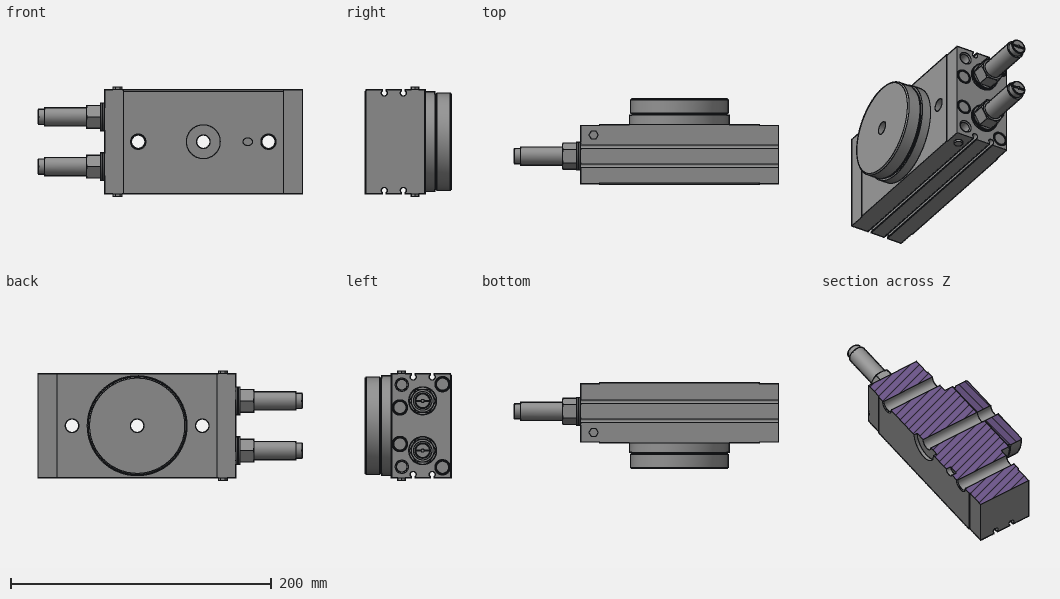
import cadquery as cq
import math


half_height = 40.0
middle_length = 122.6
housing_depth = 46.0
housing_chamfer = 1.5
left_end_length = 14.5
right_end_length = 14.8
end_inset = 0.6
left_x = -middle_length / 2 - left_end_length
right_x = middle_length / 2 + right_end_length

overall_depth = 66.0
collar_radius = 38.4
collar_height = 7.3
table_radius = 37.5
table_chamfer = 1.0
neck_radius = table_radius - table_chamfer
neck_height = 0.8
collar_top_y = housing_depth + collar_height

center_bore_radius = 5.0
center_recess_radius = 13.0
center_recess_depth = 2.8
mount_hole_x = 50.0
mount_hole_radius = 5.0
mount_hole_chamfer = 0.8
locating_hole_x = 34.1
locating_hole_length = 7.3
locating_hole_height = 5.9
locating_hole_depth = 4.0

groove_ys = (14.6, 29.2)
groove_radius = 2.2
groove_center_depth = 2.6
groove_mouth = 2.8

port_y = 38.0
port_z = 31.5
port_radius = 4.0
port_chamfer = 1.0
port_depth = 10.2
screw_head_radius = 4.7
screw_ring_radius = 5.9
screw_ring_depth = 0.5
screw_places = ((6.7, 31.9), (39.4, 14.0))

absorber_y = 22.0
absorber_z = 19.0
tip_radius = 5.9
tip_length = 5.0
tip_chamfer = 0.6
rod_radius = 7.1
rod_length = 32.0
nut_flats = 17.7
nut_length = 10.8
nut_chamfer_radius = 8.7
nut_chamfer_angle = math.radians(20)
washer_radius = 10.8
washer_length = 3.2
washer_groove_width = 0.6
washer_groove_depth = 0.5
tip_slot_width = 0.8
tip_slot_depth = 0.8
tip_hole_radius = 1.2
tip_hole_depth = 2.0
washer_x = left_x - washer_length
nut_x = washer_x - nut_length
rod_x = nut_x - rod_length
tip_x = rod_x - tip_length

plug_x = -65.8
plug_y = 38.2
plug_flats = 6.0
plug_height = 2.0


def cylinder_x(radius, length, start_x, y, z):
    """Cylinder that runs toward +X from start_x."""
    return cq.Workplane("YZ", origin=(start_x, y, z)).circle(radius).extrude(length)


def cylinder_y(radius, length, x, start_y):
    """Cylinder at mid height that runs toward +Y from start_y."""
    return cq.Workplane("XZ", origin=(x, start_y, 0)).circle(radius).extrude(-length)


def block(start_x, length, start_y, depth):
    """Full-height block centered on Z = 0."""
    corner = (start_x, start_y, -half_height)
    return cq.Workplane("XY").box(length, depth, 2 * half_height, centered=False).translate(corner)


def cut_sensor_grooves(body):
    """Keyhole-shaped grooves along X in the top and bottom faces."""
    start_x = left_x
    length = right_x - left_x
    for side in (-1, 1):
        for y in groove_ys:
            center_z = side * (half_height - groove_center_depth)
            mouth_z = side * (half_height - groove_center_depth / 2)
            mouth = (
                cq.Workplane("YZ", origin=(start_x, y, mouth_z))
                .rect(groove_mouth, groove_center_depth)
                .extrude(length)
            )
            groove = cylinder_x(groove_radius, length, start_x, y, center_z).union(mouth)
            body = body.cut(groove, clean=False)
    return body


def revolve_about_x(points, y, z):
    """Solid of revolution about the X-parallel line at y, z from (x, radius) points."""
    profile = cq.Workplane("XY", origin=(0, y, z)).polyline(points).close()
    return profile.revolve(360, (0, 0, 0), (1, 0, 0))


def revolve_about_y(points, x):
    """Solid of revolution about the Y-parallel line at x and mid height from (radius, y) points."""
    profile = cq.Workplane("XY", origin=(x, 0, 0)).polyline(points).close()
    return profile.revolve(360, (0, 0, 0), (0, 1, 0))


def make_housing_blank():
    """Middle block, end sections and collar; the end sections stay distinct in the flush top and bottom faces."""
    end_depth = housing_depth - 2 * end_inset
    middle = block(-middle_length / 2, middle_length, 0, housing_depth)
    middle = middle.edges("<Y and >Z").chamfer(housing_chamfer)
    middle = middle.union(cylinder_y(collar_radius, collar_height, 0, housing_depth))
    left_end = block(left_x, left_end_length, end_inset, end_depth)
    right_end = block(middle_length / 2, right_end_length, end_inset, end_depth)
    return middle.union(left_end, clean=False).union(right_end, clean=False)


def cut_front_holes(body):
    """Center bore with its recess, two mounting holes and an oval locating hole."""
    body = body.cut(cylinder_y(center_bore_radius, collar_top_y, 0, 0), clean=False)
    body = body.cut(cylinder_y(center_recess_radius, center_recess_depth, 0, 0), clean=False)

    mount_hole_profile = [
        (0, 0),
        (mount_hole_radius + mount_hole_chamfer, 0),
        (mount_hole_radius, mount_hole_chamfer),
        (mount_hole_radius, housing_depth),
        (0, housing_depth),
    ]
    for x in (-mount_hole_x, mount_hole_x):
        body = body.cut(revolve_about_y(mount_hole_profile, x), clean=False)

    locating_hole = (
        cq.Workplane("XZ", origin=(locating_hole_x, 0, 0))
        .ellipse(locating_hole_length / 2, locating_hole_height / 2)
        .extrude(-locating_hole_depth)
    )
    return body.cut(locating_hole, clean=False)


def cut_left_face(body):
    """Air ports and the V-shaped rings around the flush screw heads."""
    face_x = left_x
    port_profile = [
        (face_x, 0),
        (face_x, port_radius + port_chamfer),
        (face_x + port_chamfer, port_radius),
        (face_x + port_depth, port_radius),
        (face_x + port_depth, 0),
    ]
    screw_ring_profile = [
        (face_x, screw_head_radius),
        (face_x, screw_ring_radius),
        (face_x + screw_ring_depth, (screw_head_radius + screw_ring_radius) / 2),
    ]
    for side in (-1, 1):
        body = body.cut(revolve_about_x(port_profile, port_y, side * port_z), clean=False)
        for y, z in screw_places:
            body = body.cut(revolve_about_x(screw_ring_profile, y, side * z), clean=False)
    return body


def make_housing():
    body = cut_sensor_grooves(make_housing_blank())
    return cut_left_face(cut_front_holes(body))


def make_table():
    """Chamfered disc on a short neck that stands on the collar."""
    disc_y = collar_top_y + neck_height
    table = cylinder_y(table_radius, overall_depth - disc_y, 0, disc_y)
    table = table.edges().chamfer(table_chamfer)
    table = table.union(cylinder_y(neck_radius, neck_height, 0, collar_top_y))
    return table.cut(cylinder_y(center_bore_radius, overall_depth, 0, 0))


def make_nut(z):
    """Hexagonal nut with a chamfered outer end and a grooved washer flange against the housing."""
    corner_diameter = nut_flats / math.cos(math.pi / 6)
    corner_radius = corner_diameter / 2
    bevel = (corner_radius - nut_chamfer_radius) * math.tan(nut_chamfer_angle)
    hexagon = cq.Workplane("YZ", origin=(nut_x, absorber_y, z)).polygon(6, corner_diameter).extrude(nut_length)
    turned_profile = [
        (nut_x, 0),
        (nut_x, nut_chamfer_radius),
        (nut_x + bevel, corner_radius),
        (washer_x, corner_radius),
        (washer_x, 0),
    ]
    nut = hexagon.intersect(revolve_about_x(turned_profile, absorber_y, z))

    groove_x = washer_x + (washer_length - washer_groove_width) / 2
    groove_floor = washer_radius - washer_groove_depth
    washer_profile = [
        (washer_x, 0),
        (washer_x, washer_radius),
        (groove_x, washer_radius),
        (groove_x, groove_floor),
        (groove_x + washer_groove_width, groove_floor),
        (groove_x + washer_groove_width, washer_radius),
        (left_x, washer_radius),
        (left_x, 0),
    ]
    nut = nut.union(revolve_about_x(washer_profile, absorber_y, z))
    return nut.cut(cylinder_x(rod_radius, left_x - nut_x, nut_x, absorber_y, z))


def make_absorber(z):
    """Stepped rod with a screwdriver slot and a small hole in its tip."""
    rod_profile = [
        (tip_x, 0),
        (tip_x, tip_radius - tip_chamfer),
        (tip_x + tip_chamfer, tip_radius),
        (rod_x, tip_radius),
        (rod_x, rod_radius),
        (left_x, rod_radius),
        (left_x, 0),
    ]
    absorber = revolve_about_x(rod_profile, absorber_y, z)
    tip_slot = (
        cq.Workplane("YZ", origin=(tip_x, absorber_y, z))
        .rect(2 * tip_radius, tip_slot_width)
        .extrude(tip_slot_depth)
    )
    tip_hole = cylinder_x(tip_hole_radius, tip_hole_depth, tip_x, absorber_y, z)
    return absorber.cut(tip_slot).cut(tip_hole)


def make_plug(side):
    """Hexagonal plug standing on the top (side = 1) or bottom (side = -1) of the left end section."""
    corner_diameter = plug_flats / math.cos(math.pi / 6)
    base = cq.Workplane("XY", origin=(plug_x, plug_y, side * half_height))
    return base.polygon(6, corner_diameter).extrude(side * plug_height)


housing = make_housing()
table = make_table()
nuts = [make_nut(side * absorber_z) for side in (-1, 1)]
absorbers = [make_absorber(side * absorber_z) for side in (-1, 1)]
plugs = [make_plug(side) for side in (-1, 1)]

result = cq.Compound.makeCompound(
    [
        housing.val(),
        table.val(),
        *[absorber.val() for absorber in absorbers],
        *[nut.val() for nut in nuts],
        *[plug.val() for plug in plugs],
    ]
)